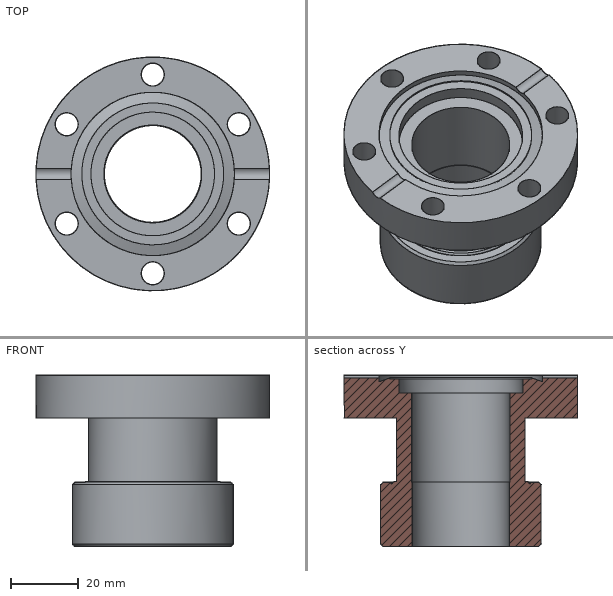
import cadquery as cq
import math

total_height = 50.65
flange_thickness = 12.65
flange_bottom = total_height - flange_thickness
collar_height = 19.1
lip_height = 0.2
lip_top = collar_height + lip_height

flange_radius = 69.1 / 2
neck_radius = 38.1 / 2
lip_radius = 39.65 / 2
lip_chamfer = 0.6
lip_foot_radius = lip_radius + lip_chamfer
lip_foot_height = lip_top - lip_chamfer
lip_groove_radius = 20.6
collar_radius = 47.6 / 2
collar_chamfer = 0.75

recess_radius = 48.3 / 2
knife_radius = 41.95 / 2
knife_depth = 0.7
knife_angle = 20
seat_depth = 1.1
recess_depth = knife_depth + (recess_radius - knife_radius) * math.tan(math.radians(knife_angle))

counterbore_radius = 36.55 / 2
counterbore_depth = 5.2
upper_bore_radius = 28.95 / 2
lower_bore_radius = 28.6 / 2

bolt_count = 6
bolt_hole_diameter = 6.7
bolt_circle_radius = 29.35

groove_width = 3.25
groove_depth = 0.75
groove_radius = ((groove_width / 2) ** 2 + groove_depth**2) / (2 * groove_depth)


def turned_body():
    """Flange, neck, collar and stepped bore, revolved about Z."""
    profile = [
        (lower_bore_radius, 0),
        (collar_radius - collar_chamfer, 0),
        (collar_radius, collar_chamfer),
        (collar_radius, collar_height - collar_chamfer),
        (collar_radius - collar_chamfer, collar_height),
        (lip_groove_radius, collar_height),
        (lip_groove_radius, lip_foot_height),
        (lip_foot_radius, lip_foot_height),
        (lip_radius, lip_top),
        (neck_radius, lip_top),
        (neck_radius, flange_bottom),
        (flange_radius, flange_bottom),
        (flange_radius, total_height),
        (recess_radius, total_height),
        (recess_radius, total_height - recess_depth),
        (knife_radius, total_height - knife_depth),
        (knife_radius, total_height - seat_depth),
        (counterbore_radius, total_height - seat_depth),
        (counterbore_radius, total_height - counterbore_depth),
        (upper_bore_radius, total_height - counterbore_depth),
        (upper_bore_radius, collar_height),
        (lower_bore_radius, collar_height),
    ]
    return cq.Workplane("XZ").polyline(profile).close().revolve(360, (0, 0, 0), (0, 1, 0))


def bolt_holes():
    """Through holes in the flange, the first one on +Y."""
    return (
        cq.Workplane("XY")
        .workplane(offset=flange_bottom)
        .polarArray(bolt_circle_radius, 90, 360, bolt_count)
        .circle(bolt_hole_diameter / 2)
        .extrude(flange_thickness)
    )


def leak_groove():
    """Round-bottomed groove from rim to rim, kept clear of the sealing recess."""
    groove = (
        cq.Workplane("YZ")
        .center(0, total_height - groove_depth + groove_radius)
        .circle(groove_radius)
        .extrude(flange_radius, both=True)
    )
    recess_area = cq.Workplane("XY").circle(recess_radius).extrude(2 * total_height)
    return groove.cut(recess_area)


result = turned_body().cut(bolt_holes()).cut(leak_groove())